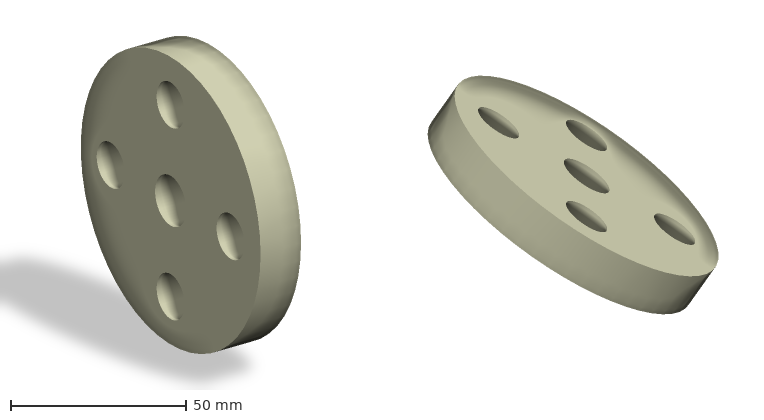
import cadquery as cq

disc_diameter = 90.0
thickness = 14.0
bore_diameter = 15.6
bolt_hole_diameter = 14.0
bolt_circle_radius = disc_diameter / 3
bolt_count = 4

back_plane = cq.Workplane("XZ", origin=(0, thickness / 2, 0))
disc = back_plane.circle(disc_diameter / 2).extrude(thickness)

bored_disc = disc.faces("<Y").workplane().hole(bore_diameter)

result = (
    bored_disc.faces("<Y")
    .workplane()
    .polarArray(bolt_circle_radius, 0, 360, bolt_count)
    .hole(bolt_hole_diameter)
)